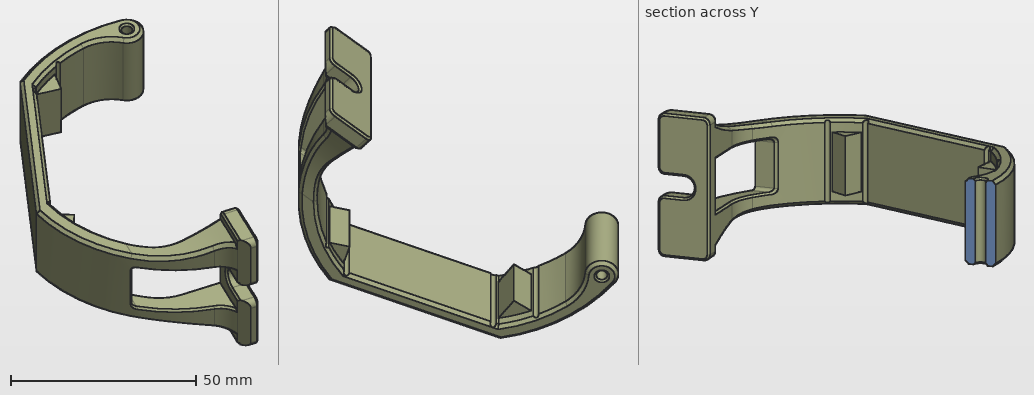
import cadquery as cq
import math


BAND_HEIGHT = 24.0
BAND_HALF = BAND_HEIGHT / 2
EDGE_CHAMFER = 1.0
FLAT_THICKNESS = 4.1

EYE_RADIUS = 4.5
HOLE_RADIUS = 1.5
HOLE_CHAMFER = 0.55
EYE_BLEND_RADIUS = 13.0

OVERALL_DEPTH = 54.72
LEFT_CORNER = (6.1, -34.15)
LOW_CORNER = (53.6, EYE_RADIUS - OVERALL_DEPTH)

LEFT_CENTRE = (43.7, -4.0)
LEFT_INNER_RADIUS = 43.5
LEFT_OUTER_RADIUS = math.dist(LEFT_CENTRE, LEFT_CORNER)
RIGHT_CENTRE = (42.8, -4.8)
RIGHT_INNER_RADIUS = 41.6
RIGHT_OUTER_RADIUS = math.dist(RIGHT_CENTRE, LOW_CORNER)
RIGHT_INNER_BLEND_RADIUS = 15.7

OVERALL_WIDTH = 99.65
PAD_WIDTH = 15.0
PAD_RIGHT = OVERALL_WIDTH - EYE_RADIUS
PAD_LEFT = PAD_RIGHT - PAD_WIDTH
PAD_BACK = -3.0
PAD_THICKNESS = 5.1
PAD_FRONT = PAD_BACK - PAD_THICKNESS
PAD_HEIGHT = 40.0
PAD_BEVEL = 2.75
PAD_CORNER_RADIUS = 1.9
PAD_CHAMFER = 0.6
SLOT_RADIUS = 3.0
SLOT_CENTRE_X = (PAD_LEFT + PAD_RIGHT) / 2

FLARE_START_Y = -33.2
FLARE_HALF_AT_PAD = 17.3
ARM_BLEND_START_Y = -13.3
ARM_OVERLAP = 1.0

WINDOW_BOTTOM = -33.4
WINDOW_HALF = 7.4
WINDOW_CORNER_RADIUS = 1.0
WINDOW_CHAMFER = 0.6
RIM_MARGIN = 0.01

STOPS = (
    ((10.4, -23.9), (3.9, -23.2), (9.55, -31.9)),
    ((55.5, -39.9), (61.0, -42.8), (53.0, -45.2)),
)
STOP_HALF = 8.3
RELIEF_CENTRES = ((10.95, -31.65), (4.35, -21.9), (51.8, -45.2), (61.4, -41.7))
RELIEF_RADIUS = 0.8


def on_circle(centre, radius, angle):
    return (centre[0] + radius * math.cos(angle), centre[1] + radius * math.sin(angle))


def angle_from(centre, point):
    return math.atan2(point[1] - centre[1], point[0] - centre[0])


def toward(start, end, distance):
    """Point at a distance from start, on the ray through end."""
    return on_circle(start, distance, angle_from(start, end))


def arc_middle(centre, radius, start, end):
    """Point halfway along the shorter arc from start to end."""
    middle = ((start[0] + end[0]) / 2, (start[1] + end[1]) / 2)
    return toward(centre, middle, radius)


def circle_meeting(centre_a, radius_a, centre_b, radius_b):
    """Crossing of two circles that lies to the right of the direction from a to b."""
    gap = math.dist(centre_a, centre_b)
    along = (gap**2 + radius_a**2 - radius_b**2) / (2 * gap)
    turn = math.acos(along / radius_a)
    return on_circle(centre_a, radius_a, angle_from(centre_a, centre_b) - turn)


def flat_meeting(centre, radius, side):
    """Crossing of a circle with the inner face of the flat stretch, on its left (-1) or right (+1)."""
    slope = angle_from(LEFT_CORNER, LOW_CORNER)
    along = (math.cos(slope), math.sin(slope))
    inward = (-along[1], along[0])
    offset = (centre[0] - LEFT_CORNER[0], centre[1] - LEFT_CORNER[1])
    height = offset[0] * inward[0] + offset[1] * inward[1] - FLAT_THICKNESS
    reach = side * math.sqrt(radius**2 - height**2)
    return (
        centre[0] - height * inward[0] + reach * along[0],
        centre[1] - height * inward[1] + reach * along[1],
    )


def plan_outline():
    """Closed outline of the band and the arm in the XY plane, from the eye round the outer side and back."""
    eye = (0.0, 0.0)
    eye_left = (-EYE_RADIUS, 0.0)

    arm_angle = math.asin((ARM_BLEND_START_Y - RIGHT_CENTRE[1]) / RIGHT_OUTER_RADIUS)
    arm_outer_end = on_circle(RIGHT_CENTRE, RIGHT_OUTER_RADIUS, arm_angle)
    bevel_foot = (PAD_RIGHT - PAD_BEVEL, PAD_FRONT)
    arm_top = PAD_FRONT + ARM_OVERLAP

    right_blend_x = PAD_LEFT - RIGHT_INNER_BLEND_RADIUS
    right_blend_distance = RIGHT_INNER_RADIUS - RIGHT_INNER_BLEND_RADIUS
    right_blend_drop = math.sqrt(right_blend_distance**2 - (right_blend_x - RIGHT_CENTRE[0]) ** 2)
    right_blend = (right_blend_x, RIGHT_CENTRE[1] - right_blend_drop)
    right_blend_start = (PAD_LEFT, right_blend[1])
    right_blend_end = toward(RIGHT_CENTRE, right_blend, RIGHT_INNER_RADIUS)

    inner_low_corner = flat_meeting(RIGHT_CENTRE, RIGHT_INNER_RADIUS, 1)
    inner_left_corner = flat_meeting(LEFT_CENTRE, LEFT_INNER_RADIUS, -1)

    eye_blend = circle_meeting(
        eye, EYE_RADIUS + EYE_BLEND_RADIUS, LEFT_CENTRE, LEFT_INNER_RADIUS - EYE_BLEND_RADIUS
    )
    eye_blend_start = toward(LEFT_CENTRE, eye_blend, LEFT_INNER_RADIUS)
    eye_blend_end = toward(eye, eye_blend, EYE_RADIUS)

    return (
        cq.Workplane("XY")
        .moveTo(*eye_left)
        .threePointArc(arc_middle(LEFT_CENTRE, LEFT_OUTER_RADIUS, eye_left, LEFT_CORNER), LEFT_CORNER)
        .lineTo(*LOW_CORNER)
        .threePointArc(
            arc_middle(RIGHT_CENTRE, RIGHT_OUTER_RADIUS, LOW_CORNER, arm_outer_end), arm_outer_end
        )
        .tangentArcPoint(bevel_foot, relative=False)
        .lineTo(bevel_foot[0] - ARM_OVERLAP, arm_top)
        .lineTo(PAD_LEFT, arm_top)
        .lineTo(*right_blend_start)
        .threePointArc(
            arc_middle(right_blend, RIGHT_INNER_BLEND_RADIUS, right_blend_start, right_blend_end),
            right_blend_end,
        )
        .threePointArc(
            arc_middle(RIGHT_CENTRE, RIGHT_INNER_RADIUS, right_blend_end, inner_low_corner),
            inner_low_corner,
        )
        .lineTo(*inner_left_corner)
        .threePointArc(
            arc_middle(LEFT_CENTRE, LEFT_INNER_RADIUS, inner_left_corner, eye_blend_start),
            eye_blend_start,
        )
        .threePointArc(
            arc_middle(eye_blend, EYE_BLEND_RADIUS, eye_blend_start, eye_blend_end), eye_blend_end
        )
        .threePointArc((0.0, EYE_RADIUS), eye_left)
        .close()
    )


def flare_prism():
    """Space between the upper and lower faces of the arm, widening along an arc towards the pad."""
    run = PAD_FRONT - FLARE_START_Y
    rise = FLARE_HALF_AT_PAD - BAND_HALF
    radius = (run**2 + rise**2) / (2 * rise)
    end_y = PAD_FRONT + ARM_OVERLAP

    def half_height(y):
        return BAND_HALF + radius - math.sqrt(radius**2 - (y - FLARE_START_Y) ** 2)

    mid_y = (FLARE_START_Y + end_y) / 2
    low_y = LOW_CORNER[1] - 1
    return (
        cq.Workplane("YZ")
        .workplane(offset=RIGHT_CENTRE[0])
        .moveTo(low_y, -BAND_HALF)
        .lineTo(low_y, BAND_HALF)
        .lineTo(FLARE_START_Y, BAND_HALF)
        .threePointArc((mid_y, half_height(mid_y)), (end_y, half_height(end_y)))
        .lineTo(end_y, -half_height(end_y))
        .threePointArc((mid_y, -half_height(mid_y)), (FLARE_START_Y, -BAND_HALF))
        .close()
        .extrude(PAD_RIGHT - RIGHT_CENTRE[0])
    )


def band_and_arm():
    """Band of constant height joined to the flaring arm, with the upper and lower rims chamfered."""
    plan = plan_outline().extrude(PAD_HEIGHT / 2, both=True)
    left_size = 2 * RIGHT_CENTRE[0]
    left_space = cq.Workplane("XY").box(left_size, 4 * left_size, BAND_HEIGHT)
    space = left_space.union(flare_prism()).clean()
    body = plan.intersect(space)
    return body.edges("not (|X or |Z)").chamfer(EDGE_CHAMFER)


def window():
    """Opening cut through the arm along X, between its two struts and in front of the pad."""
    length = PAD_FRONT + ARM_OVERLAP - WINDOW_BOTTOM
    return (
        cq.Workplane("XY")
        .box(PAD_RIGHT - RIGHT_CENTRE[0], length, 2 * WINDOW_HALF, centered=(False, False, True))
        .edges("|X and <Y")
        .fillet(WINDOW_CORNER_RADIUS)
        .translate((RIGHT_CENTRE[0], WINDOW_BOTTOM, 0))
    )


def windowed_arm():
    """Band and arm with the window cut and its rims on the inner and outer walls chamfered."""
    body = band_and_arm().cut(window())
    around_window = cq.selectors.BoxSelector(
        (RIGHT_CENTRE[0], WINDOW_BOTTOM - RIM_MARGIN, -WINDOW_HALF - RIM_MARGIN),
        (PAD_RIGHT, PAD_FRONT, WINDOW_HALF + RIM_MARGIN),
    )
    return body.edges(around_window).edges("not |X").chamfer(WINDOW_CHAMFER)


def mounting_pad():
    """Upright plate with a slot open to the right and a bevel along its front right edge."""
    plate = cq.Workplane("XY").box(PAD_WIDTH, PAD_THICKNESS, PAD_HEIGHT)
    plate = plate.translate((SLOT_CENTRE_X, (PAD_BACK + PAD_FRONT) / 2, 0))
    plate = plate.edges(">X and <Y").chamfer(PAD_BEVEL)
    slot_depth = -2 * PAD_FRONT
    slot = cq.Workplane("XZ").circle(SLOT_RADIUS).extrude(slot_depth, both=True)
    mouth = cq.Workplane("XY").box(
        PAD_WIDTH, 2 * slot_depth, 2 * SLOT_RADIUS, centered=(False, True, True)
    )
    plate = plate.cut(slot.union(mouth).translate((SLOT_CENTRE_X, 0, 0)))
    plate = plate.edges("(|Y and (<X or >X))").fillet(PAD_CORNER_RADIUS)
    plate = plate.faces(">Y").chamfer(PAD_CHAMFER)
    return plate.faces("<Y").edges("not (|Z and >X)").chamfer(PAD_CHAMFER)


def stop(tip, first_foot, second_foot):
    """Triangular stop standing off the inner wall."""
    triangle = cq.Workplane("XY").polyline([tip, first_foot, second_foot]).close()
    return triangle.extrude(STOP_HALF, both=True)


def relief(centre):
    """Groove along Z across the inner wall, beside the foot of a stop."""
    return cq.Workplane("XY").center(*centre).circle(RELIEF_RADIUS).extrude(BAND_HALF, both=True)


def hinge_hole():
    """Hole through the eye, widened by a chamfer at both ends."""
    hole = cq.Workplane("XY").circle(HOLE_RADIUS).extrude(BAND_HALF, both=True)
    rim_radius = HOLE_RADIUS + HOLE_CHAMFER
    for end in (1, -1):
        cone = cq.Solid.makeCone(
            rim_radius, HOLE_RADIUS, HOLE_CHAMFER, cq.Vector(0, 0, end * BAND_HALF), cq.Vector(0, 0, -end)
        )
        hole = hole.union(cq.Workplane(cone))
    return hole


body = windowed_arm()
for corners in STOPS:
    body = body.union(stop(*corners))
for centre in RELIEF_CENTRES:
    body = body.cut(relief(centre))
result = body.cut(hinge_hole()).union(mounting_pad())